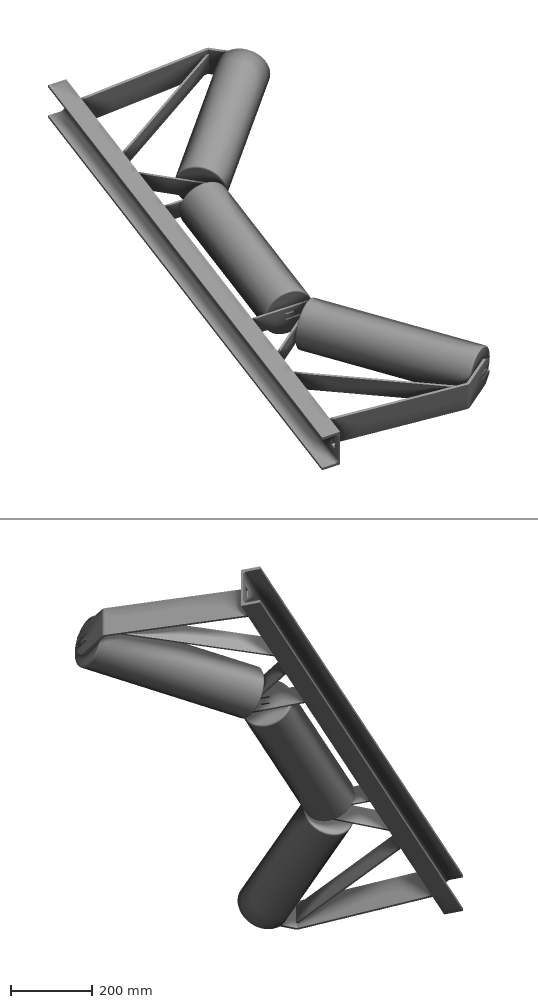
import cadquery as cq
import math

CHANNEL_LENGTH = 1500.0
CHANNEL_HEIGHT = 105.0
CHANNEL_DEPTH = 50.0
WEB_THICKNESS = 5.0
FLANGE_THICKNESS = 8.0
ROOT_RADIUS = 10.0
MOUNT_SLOT_WIDTH = 18.0
MOUNT_SLOT_HEIGHT = 32.0
MOUNT_SLOT_X = 720.0

ROLLER_DIAMETER = 134.0
ROLLER_LENGTH = 465.0
ROLLER_EDGE_RADIUS = 5.0
MIDDLE_ROLLER_Y = 117.0
WING_X = 466.0
WING_Y = 286.0
WING_ANGLE = 40.0
SHAFT_DIAMETER = 25.0
SHAFT_FLAT_WIDTH = 14.0

OUTER_WIDTH = 78.0
SHAFT_SLOT_WIDTH = 22.0
INNER_WIDTH = 50.0
INNER_THICKNESS = 6.0
INNER_GAP = 5.0
INNER_BEND_RADIUS = 5.0
OUTER_THICKNESS = 8.0
OUTER_GAP = 6.0
OUTER_BEND_RADIUS = 5.0
OUTER_LEG_ANGLE = 5.0
OUTER_FOOT_X = 684.0
OUTER_TIP_RISE = 30.0
TIP_CHAMFER_LENGTH = 22.0
TIP_CHAMFER_WIDTH = 16.0

BRACE_WIDTH = INNER_WIDTH
BRACE_THICKNESS = 6.0
BRACE_FOOT_X = 458.0

AXIS = cq.Vector(-math.cos(math.radians(WING_ANGLE)), math.sin(math.radians(WING_ANGLE)), 0)
ACROSS = cq.Vector(math.sin(math.radians(WING_ANGLE)), math.cos(math.radians(WING_ANGLE)), 0)
WING_CENTER = cq.Vector(-WING_X, WING_Y, 0)

LEG_SLOPE = math.tan(math.radians(OUTER_LEG_ANGLE))
LEG_OUTER_FOOT = -OUTER_FOOT_X
LEG_INNER_FOOT = LEG_OUTER_FOOT + OUTER_THICKNESS / math.cos(math.radians(OUTER_LEG_ANGLE))


def wing_point(along, across):
    """Point given by its distances from the left wing centre, along and across the wing axis."""
    return WING_CENTER + AXIS * along + ACROSS * across


def wing_line_at_x(along, x):
    """Point at x on the line that crosses the wing axis squarely at the given distance."""
    start = wing_point(along, 0)
    return start + ACROSS * ((x - start.x) / ACROSS.x)


def wing_line_at_base(along):
    """Point on Y = 0 of the line that crosses the wing axis squarely at the given distance."""
    start = wing_point(along, 0)
    return start - ACROSS * (start.y / ACROSS.y)


def plate(points, width):
    """Plate with an outline in XY and its width centred on Z = 0."""
    outline = [(point.x, point.y) for point in points]
    return cq.Workplane("XY", origin=(0, 0, -width / 2)).polyline(outline).close().extrude(width)


def round_edge(body, point, radius):
    """Round the edge along Z that lies at the given XY point."""
    nearest = cq.selectors.NearestToPointSelector(point.toTuple())
    return body.edges("|Z").edges(nearest).fillet(radius)


def make_channel():
    """U-section channel with rounded inner corners and a mounting slot near each end."""
    half = CHANNEL_HEIGHT / 2
    inside = half - FLANGE_THICKNESS
    section = [
        (0, -half), (0, half), (-CHANNEL_DEPTH, half), (-CHANNEL_DEPTH, inside),
        (-WEB_THICKNESS, inside), (-WEB_THICKNESS, -inside),
        (-CHANNEL_DEPTH, -inside), (-CHANNEL_DEPTH, -half),
    ]
    end = cq.Workplane("YZ", origin=(-CHANNEL_LENGTH / 2, 0, 0))
    channel = end.polyline(section).close().extrude(CHANNEL_LENGTH)
    for root_z in (-inside, inside):
        root = cq.selectors.NearestToPointSelector((0, -WEB_THICKNESS, root_z))
        channel = channel.edges("|X").edges(root).fillet(ROOT_RADIUS)
    slots = (
        cq.Workplane("XZ")
        .pushPoints([(-MOUNT_SLOT_X, 0), (MOUNT_SLOT_X, 0)])
        .rect(MOUNT_SLOT_WIDTH, MOUNT_SLOT_HEIGHT)
        .extrude(CHANNEL_DEPTH)
    )
    return channel.cut(slots)


def make_roller(left_reach, right_reach):
    """Roller along X centred on the origin, with a flatted shaft that sticks out at both ends."""
    barrel = (
        cq.Workplane("YZ", origin=(-ROLLER_LENGTH / 2, 0, 0))
        .circle(ROLLER_DIAMETER / 2).extrude(ROLLER_LENGTH)
        .edges("%CIRCLE").fillet(ROLLER_EDGE_RADIUS)
    )
    shaft_length = ROLLER_LENGTH + left_reach + right_reach
    shaft = (
        cq.Workplane("YZ", origin=(-ROLLER_LENGTH / 2 - left_reach, 0, 0))
        .circle(SHAFT_DIAMETER / 2).extrude(shaft_length)
    )
    flats = cq.Workplane("XY").box(2 * shaft_length, SHAFT_DIAMETER, SHAFT_FLAT_WIDTH)
    return barrel.union(shaft.intersect(flats))


def make_middle_roller():
    """Level roller between the two inner brackets."""
    reach = INNER_GAP + INNER_THICKNESS
    return make_roller(reach, reach).translate((0, MIDDLE_ROLLER_Y, 0))


def make_wing_roller():
    """Tilted left roller, carried by an outer and an inner bracket."""
    roller = make_roller(OUTER_GAP + OUTER_THICKNESS, INNER_GAP + INNER_THICKNESS)
    return roller.rotate((0, 0, 0), (0, 0, 1), -WING_ANGLE).translate(WING_CENTER)


def shaft_slot(center, across, reach, axis, thickness):
    """Cutter for a shaft slot: its floor touches the underside of the shaft and it runs up by reach."""
    along = axis * thickness
    low = center - across * (SHAFT_DIAMETER / 2)
    high = center + across * reach
    return plate([low, low + along, high + along, high], SHAFT_SLOT_WIDTH)


def make_inner_bracket():
    """Strip bent over at the top: an upright leg for the middle roller, a slanted one for the wing."""
    near = -ROLLER_LENGTH / 2 - INNER_GAP
    far = near - INNER_THICKNESS
    outer_bend = wing_line_at_x(near, near)
    inner_bend = wing_line_at_x(far, far)
    bracket = plate(
        [
            cq.Vector(near, 0, 0), outer_bend, wing_line_at_base(near),
            wing_line_at_base(far), inner_bend, cq.Vector(far, 0, 0),
        ],
        INNER_WIDTH,
    )
    bracket = round_edge(bracket, outer_bend, INNER_BEND_RADIUS + INNER_THICKNESS)
    bracket = round_edge(bracket, inner_bend, INNER_BEND_RADIUS)
    reach = ROLLER_DIAMETER / 2
    middle_slot = shaft_slot(
        cq.Vector(far, MIDDLE_ROLLER_Y, 0), cq.Vector(0, 1, 0), reach,
        cq.Vector(1, 0, 0), INNER_THICKNESS)
    wing_slot = shaft_slot(wing_point(far, 0), ACROSS, reach, AXIS, INNER_THICKNESS)
    return bracket.cut(middle_slot).cut(wing_slot)


def leg_meets_wing_line(foot_x, along):
    """Point where a leg line from foot_x crosses a line square to the wing axis."""
    start = wing_point(along, 0)
    distance = (foot_x - start.x - start.y * LEG_SLOPE) / (ACROSS.x + ACROSS.y * LEG_SLOPE)
    return start + ACROSS * distance


def make_outer_bracket():
    """Strip with a leaning leg, bent at the top to lie along the outer end of the wing roller."""
    inner = ROLLER_LENGTH / 2 + OUTER_GAP
    outer = inner + OUTER_THICKNESS
    outer_bend = leg_meets_wing_line(LEG_OUTER_FOOT, outer)
    inner_bend = leg_meets_wing_line(LEG_INNER_FOOT, inner)
    bracket = plate(
        [
            cq.Vector(LEG_OUTER_FOOT, 0, 0), outer_bend, wing_point(outer, OUTER_TIP_RISE),
            wing_point(inner, OUTER_TIP_RISE), inner_bend, cq.Vector(LEG_INNER_FOOT, 0, 0),
        ],
        OUTER_WIDTH,
    )
    bracket = round_edge(bracket, outer_bend, OUTER_BEND_RADIUS + OUTER_THICKNESS)
    bracket = round_edge(bracket, inner_bend, OUTER_BEND_RADIUS)
    half = OUTER_WIDTH / 2
    corners = (
        cq.Workplane(cq.Plane(origin=wing_point(inner, OUTER_TIP_RISE), xDir=ACROSS, normal=AXIS))
        .polyline([(0, half), (-TIP_CHAMFER_LENGTH, half), (0, half - TIP_CHAMFER_WIDTH)]).close()
        .extrude(OUTER_THICKNESS)
    )
    slot = shaft_slot(wing_point(inner, 0), ACROSS, OUTER_TIP_RISE, AXIS, OUTER_THICKNESS)
    return bracket.cut(corners).cut(corners.mirror("XY")).cut(slot)


def make_brace(bracket):
    """Straight strip from the channel back into the bend of the outer bracket, cut to fit the bend."""
    bend = leg_meets_wing_line(LEG_INNER_FOOT, ROLLER_LENGTH / 2 + OUTER_GAP)
    foot = cq.Vector(-BRACE_FOOT_X, 0, 0)
    slope = (bend - foot).normalized()
    side = cq.Vector(-slope.y, slope.x, 0) * (-BRACE_THICKNESS / 2)
    half_foot = cq.Vector(BRACE_THICKNESS / 2 / slope.y, 0, 0)
    top = bend + slope * (OUTER_THICKNESS / 2)
    blank = plate([foot - half_foot, foot + half_foot, top + side, top - side], BRACE_WIDTH)
    return blank.cut(bracket)


outer_bracket = make_outer_bracket()
bodies = [make_channel(), make_middle_roller()]
for left_body in (make_wing_roller(), make_inner_bracket(), outer_bracket, make_brace(outer_bracket)):
    bodies += [left_body, left_body.mirror("YZ")]

result = cq.Compound.makeCompound([body.val() for body in bodies])